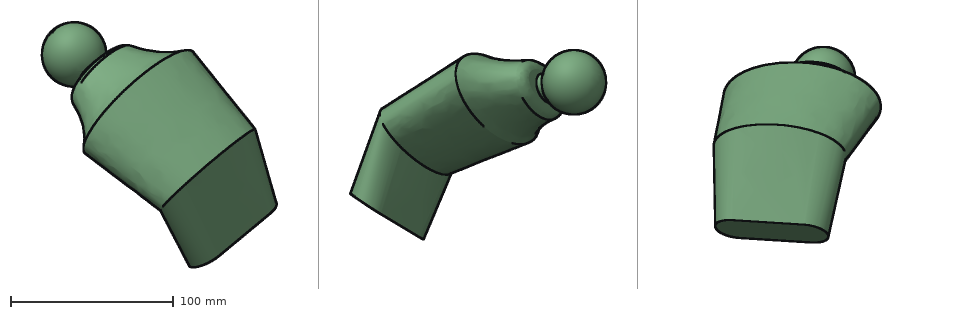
import cadquery as cq
import math

overall_length = 164.7
ball_radius = 40.0 / 2
neck_half_width = 11.9
neck_half_height = 8.9

collar_front_x = 20.0
collar_thickness = 5.0
collar_round = 7.4
rim_steps = 3
collar_back_x = collar_front_x + collar_thickness
collar_half_width = 27.5
collar_half_height = 17.6

flare_x = 40.3
flare_half_width = 35.4
flare_half_height = 19.6
shoulder_x = 55.0
shoulder_half_width = 100.0 / 2
shoulder_half_height = 25.0

bend_top = (120.7, 2.6)
bend_bottom = (106.2, -35.0)
bend_half_width = 42.0

tip_top = (overall_length - ball_radius, -53.5)
tip_bottom = (124.5, -70.3)
tip_width = 71.5


def section_plane(top, bottom):
    """Plane through two XZ points; local x is the part's Y, local y points from bottom to top."""
    up_x = top[0] - bottom[0]
    up_z = top[1] - bottom[1]
    centre = ((top[0] + bottom[0]) / 2, 0, (top[1] + bottom[1]) / 2)
    return cq.Plane(origin=centre, xDir=(0, 1, 0), normal=(up_z, 0, -up_x))


def upright_plane(x):
    return section_plane((x, 1), (x, -1))


def ellipse_wire(plane, half_width, half_height):
    return cq.Workplane(plane).ellipse(half_width, half_height).val()


def loft(wires, ruled):
    return cq.Workplane(obj=cq.Solid.makeLoft(wires, ruled))


bend_plane = section_plane(bend_top, bend_bottom)
bend_wire = ellipse_wire(bend_plane, bend_half_width, math.dist(bend_top, bend_bottom) / 2)
collar_wire = ellipse_wire(upright_plane(collar_back_x), collar_half_width, collar_half_height)
flare_wire = ellipse_wire(upright_plane(flare_x), flare_half_width, flare_half_height)
shoulder_wire = ellipse_wire(upright_plane(shoulder_x), shoulder_half_width, shoulder_half_height)
tip_wire = (
    cq.Workplane(section_plane(tip_top, tip_bottom))
    .slot2D(tip_width, math.dist(tip_top, tip_bottom))
    .wires()
    .val()
)

ball = cq.Workplane().sphere(ball_radius)

neck = (
    cq.Workplane(upright_plane(0))
    .ellipse(neck_half_width, neck_half_height)
    .extrude(collar_back_x)
)

arc_end_angle = math.acos((collar_round - collar_thickness) / collar_round)
rim_wires = []
for step in range(rim_steps + 1):
    angle = arc_end_angle * step / rim_steps
    x = collar_front_x + collar_round * (1 - math.cos(angle))
    inset = collar_round * (math.sin(arc_end_angle) - math.sin(angle))
    rim_wires.append(ellipse_wire(upright_plane(x), collar_half_width - inset, collar_half_height - inset))
collar = loft(rim_wires, ruled=False)

shoulder = loft([collar_wire, flare_wire, shoulder_wire], ruled=False)
body = loft([shoulder_wire, bend_wire], ruled=True)
tip = loft([bend_wire, tip_wire], ruled=True)

result = ball.union(neck).union(collar).union(shoulder).union(body).union(tip)